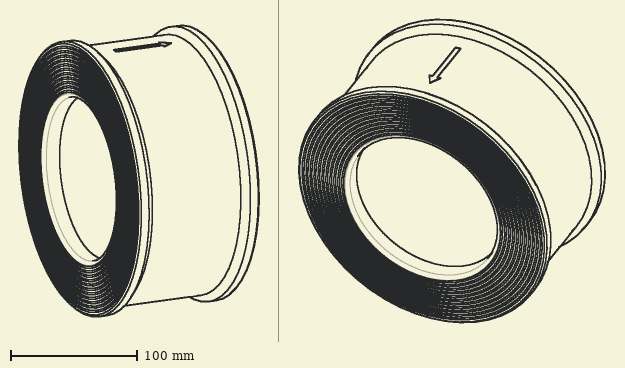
import cadquery as cq

outer_radius = 110.0
length = 106.0
neck_radius = 104.3
rim_width = 8.4
rim_chamfer = 1.5
bore_radius = 65.5
bore_lip_radius = 3.0
recess_depth = 15.0

groove_count = 11
groove_pitch = 3.5
groove_width = 1.5
groove_depth = groove_width / 2
outer_groove_radius = 105.5

arrow_height = 0.5
arrow_center_x = 6.8
arrow_tip_y = 25.3
arrow_head_y = 16.5
arrow_tail_y = -24.5
arrow_head_half_width = 5.0
arrow_shaft_half_width = 2.2

half_length = length / 2
flank_start_y = half_length - rim_width
neck_half_length = flank_start_y - (outer_radius - neck_radius)
disc_half_thickness = half_length - recess_depth


def revolve_about_y(profile):
    """Full revolution of a profile drawn as (y, radius) points."""
    return profile.close().revolve(360, (0, 0, 0), (1, 0, 0))


def make_body():
    """Solid spool: a plain neck between two chamfered rims with 45 degree flanks."""
    face_radius = outer_radius - rim_chamfer
    rim_edge_y = half_length - rim_chamfer
    profile = (
        cq.Workplane("YZ")
        .moveTo(-half_length, 0)
        .lineTo(-half_length, face_radius)
        .lineTo(-rim_edge_y, outer_radius)
        .lineTo(-flank_start_y, outer_radius)
        .lineTo(-neck_half_length, neck_radius)
        .lineTo(neck_half_length, neck_radius)
        .lineTo(flank_start_y, outer_radius)
        .lineTo(rim_edge_y, outer_radius)
        .lineTo(half_length, face_radius)
        .lineTo(half_length, 0)
    )
    return revolve_about_y(profile)


def make_recess():
    """Cutter for the round recess in the -Y end, with a rounded mouth."""
    lip_y = -half_length + bore_lip_radius
    profile = (
        cq.Workplane("YZ")
        .moveTo(-half_length, 0)
        .lineTo(-half_length, bore_radius + bore_lip_radius)
        .radiusArc((lip_y, bore_radius), -bore_lip_radius)
        .lineTo(-disc_half_thickness, bore_radius)
        .lineTo(-disc_half_thickness, 0)
    )
    return revolve_about_y(profile)


def make_groove(radius):
    """Cutter for one circular groove in the -Y end face."""
    profile = (
        cq.Workplane("YZ")
        .moveTo(-half_length, radius - groove_width / 2)
        .threePointArc(
            (-half_length + groove_depth, radius),
            (-half_length, radius + groove_width / 2),
        )
    )
    return revolve_about_y(profile)


def make_arrow():
    """Arrow prism whose top follows the neck at a constant height above it."""
    right_side = [
        (arrow_shaft_half_width, arrow_tail_y),
        (arrow_shaft_half_width, arrow_head_y),
        (arrow_head_half_width, arrow_head_y),
    ]
    left_side = [(-x, y) for x, y in reversed(right_side)]
    outline = right_side + [(0, arrow_tip_y)] + left_side
    prism = (
        cq.Workplane("XY")
        .center(arrow_center_x, 0)
        .polyline(outline)
        .close()
        .extrude(outer_radius)
    )
    envelope = cq.Workplane("XZ").circle(neck_radius + arrow_height).extrude(half_length, both=True)
    return prism.intersect(envelope)


body = make_body()
end_cutters = [make_recess()]
for index in range(groove_count):
    end_cutters.append(make_groove(outer_groove_radius - index * groove_pitch))

for cutter in end_cutters:
    body = body.cut(cutter)
    body = body.cut(cutter.mirror("XZ"))

result = body.union(make_arrow())